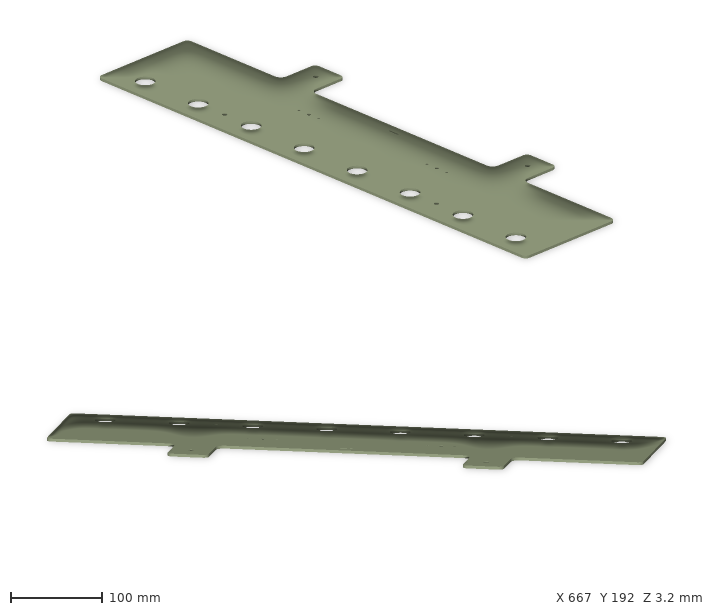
import cadquery as cq

length = 667.0
body_depth = 139.0
total_depth = 192.0
thickness = 3.2
corner_radius = 6.0

large_hole_count = 8
hole_row_length = 577.5
large_hole_pitch = hole_row_length / (large_hole_count - 1)
large_hole_diameter = 23.0
hole_row_y = 29.5

tab_spacing = 4 * large_hole_pitch
tab_width = 46.0
tab_root_radius = 9.5
tab_hole_inset = 22.0
bolt_hole_diameter = 6.0

group_spacing = 199.5
group_y = 95.0
group_pitch = 15.5
group_center_diameter = 5.0
group_side_diameter = 3.5

slot_length = 15.0
slot_width = 2.0
slot_y = 127.5


def make_plate():
    """Flat body with two tabs, all outline corners rounded."""
    plate = cq.Workplane("XY").rect(length, body_depth).extrude(thickness)
    plate = plate.translate((0, body_depth / 2, 0))
    for side in (-1, 1):
        tab = (
            cq.Workplane("XY")
            .center(side * tab_spacing / 2, total_depth / 2)
            .rect(tab_width, total_depth)
            .extrude(thickness)
        )
        plate = plate.union(tab)
    plate = plate.clean()

    root_selector = cq.selectors.BoxSelector(
        (-tab_spacing / 2 - tab_width, body_depth - corner_radius, -thickness),
        (tab_spacing / 2 + tab_width, body_depth + corner_radius, 2 * thickness),
    )
    plate = plate.edges("|Z").edges(root_selector).fillet(tab_root_radius)

    return plate.edges("|Z and (<X or >X or >Y)").fillet(corner_radius)


def drill(plate, points, diameter):
    """Cut round through holes at the given points."""
    cutter = cq.Workplane("XY").pushPoints(points).circle(diameter / 2).extrude(thickness)
    return plate.cut(cutter)


first_hole_x = -hole_row_length / 2
large_holes = [(first_hole_x + i * large_hole_pitch, hole_row_y) for i in range(large_hole_count)]

result = drill(make_plate(), large_holes, large_hole_diameter)

for side in (-1, 1):
    tab_x = side * tab_spacing / 2
    bolt_holes = [(tab_x, hole_row_y), (tab_x, total_depth - tab_hole_inset)]
    result = drill(result, bolt_holes, bolt_hole_diameter)

    group_x = side * group_spacing / 2
    side_holes = [(group_x - group_pitch, group_y), (group_x + group_pitch, group_y)]
    result = drill(result, [(group_x, group_y)], group_center_diameter)
    result = drill(result, side_holes, group_side_diameter)

slot = cq.Workplane("XY").center(0, slot_y).slot2D(slot_length, slot_width).extrude(thickness)
result = result.cut(slot)